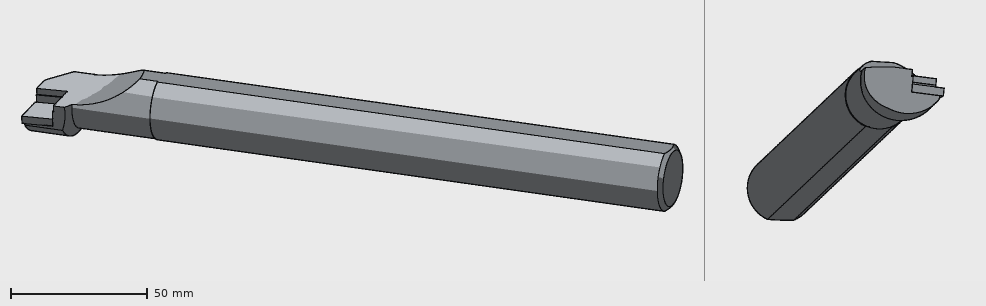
import cadquery as cq
import math

total_length = 249.0
shank_radius = 12.5
flat_height = 11.5
shank_start = 49.0
end_chamfer_length = 2.0
end_chamfer_depth = 1.5

neck_radius = 12.2

head_radius = 14.7
head_center_y = -2.2
head_taper_end = 18.5
head_taper_slope = 0.7
head_side_y = -15.0
front_angle = 5.0
corner_chamfer_start_y = 3.0
front_corner_radius = 4.2
corner_chamfer_x = 10.5

rake_angle = 6.5
rake_height = 2.2
scoop_axis_x = -11.5
scoop_axis_y = -0.87
scoop_flat_radius = 29.9
scoop_arc_radius = 33.9
scoop_arc_angle = 60.0

insert_corner_y = -16.2
insert_length = 11.7
insert_width = 11.7
insert_overhang = 0.5
insert_thickness = 3.0
pocket_depth = 5.5
ledge_depth = 2.5
ledge_width = 0.5
clearance = 25.0


def bar(radius, start, end, center_y=0.0):
    """Cylinder along X."""
    return cq.Workplane("YZ", origin=(start, center_y, 0)).circle(radius).extrude(end - start)


def flat_slab(start, bottom, top):
    """Slab whose top and bottom planes form the flats of a bar."""
    size_x = total_length - start
    slab = cq.Workplane("XY").box(size_x, 4 * shank_radius, top - bottom, centered=(False, True, False))
    return slab.translate((start, 0, bottom))


def tilt_to_rake(solid):
    """Move a solid built on Z = 0 onto the tilted rake face."""
    return solid.rotate((0, 0, 0), (1, 0, 0), rake_angle).translate((0, 0, rake_height))


def insert_prism(length, width, bottom, top, margin=0.0):
    """Rhombic block along the front and side edges; the margin extends its two outer sides."""
    lead = math.radians(front_angle)

    def corner(along_side, along_front):
        x = along_side * math.cos(lead) + along_front * math.sin(lead)
        y = along_side * math.sin(lead) + along_front * math.cos(lead)
        return (x, insert_corner_y + y)

    points = [
        corner(-margin, -margin),
        corner(length, -margin),
        corner(length, width),
        corner(-margin, width),
    ]
    return cq.Workplane("XY").workplane(offset=bottom).polyline(points).close().extrude(top - bottom)


def make_shank():
    shank = bar(shank_radius, shank_start, total_length)
    shank = shank.faces(">X").chamfer(end_chamfer_depth, end_chamfer_length)
    return shank.intersect(flat_slab(shank_start, -flat_height, flat_height))


def make_neck():
    neck = bar(neck_radius, 0, shank_start)
    return neck.intersect(flat_slab(0, -shank_radius, flat_height))


def make_head():
    """Eccentric cylinder limited at its back by a cone on the shank axis."""
    cone_base_radius = neck_radius + head_taper_end / head_taper_slope
    cone = (
        cq.Workplane("XY")
        .lineTo(0, cone_base_radius)
        .lineTo(head_taper_end, neck_radius)
        .lineTo(head_taper_end, 0)
        .close()
        .revolve(360, (0, 0, 0), (1, 0, 0))
    )
    return bar(head_radius, 0, head_taper_end, head_center_y).intersect(cone)


def make_head_outline():
    """Plan outline that trims the front face, its corner and the side of the head."""
    slope = math.tan(math.radians(front_angle))
    side_x = insert_overhang + slope * (head_side_y - insert_corner_y)
    chamfer_x = insert_overhang + slope * (corner_chamfer_start_y - insert_corner_y)
    points = [
        (side_x, head_side_y),
        (chamfer_x, corner_chamfer_start_y),
        (corner_chamfer_x, neck_radius),
        (corner_chamfer_x, clearance),
        (total_length, clearance),
        (total_length, head_side_y),
    ]
    outline = cq.Workplane("XY").workplane(offset=-clearance).polyline(points).close().extrude(2 * clearance)
    front_corner = cq.selectors.NearestToPointSelector((chamfer_x, corner_chamfer_start_y, 0))
    outline = outline.edges("|Z").edges(front_corner).fillet(front_corner_radius)
    return tilt_to_rake(outline)


def make_scoop():
    """Flat disc whose rim curves upward, removing everything above the rake face."""
    angle = math.radians(scoop_arc_angle)

    def arc_point(a):
        x = scoop_flat_radius + scoop_arc_radius * math.sin(a)
        return (x, scoop_arc_radius * (1 - math.cos(a)))

    end = arc_point(angle)
    profile = (
        cq.Workplane("XZ")
        .lineTo(scoop_flat_radius, 0)
        .threePointArc(arc_point(angle / 2), end)
        .lineTo(0, end[1])
        .close()
    )
    scoop = profile.revolve(360, (0, 0, 0), (0, 1, 0)).translate((scoop_axis_x, scoop_axis_y, 0))
    return tilt_to_rake(scoop)


def make_pocket():
    upper_length = insert_length + ledge_width
    upper_width = insert_width + ledge_width
    upper = insert_prism(upper_length, upper_width, -ledge_depth, clearance, clearance)
    lower = insert_prism(insert_length, insert_width, -pocket_depth, clearance, clearance)
    return tilt_to_rake(upper.union(lower))


def make_insert():
    insert = insert_prism(insert_length, insert_width, -pocket_depth - insert_thickness, -pocket_depth)
    return tilt_to_rake(insert)


front_end = make_neck().union(make_head()).intersect(make_head_outline())
tool = front_end.union(make_shank()).cut(make_scoop())
result = tool.cut(make_pocket()).union(make_insert())